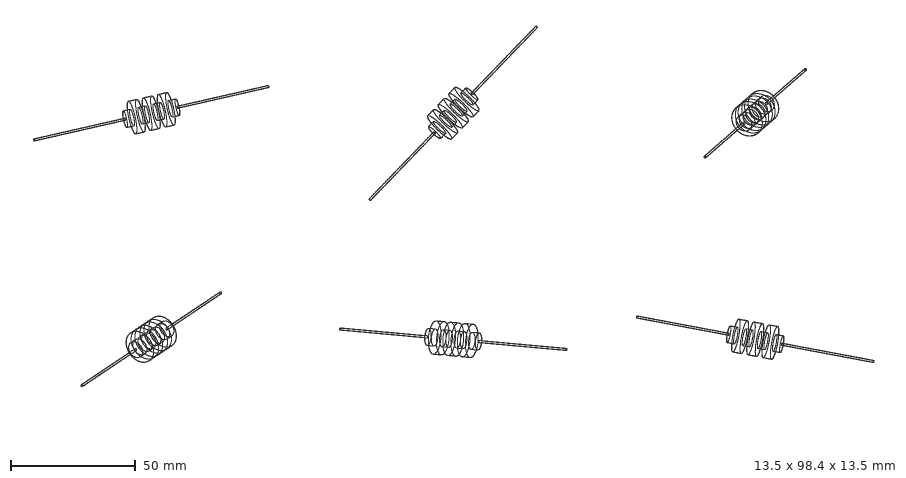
import cadquery as cq

wire_length = 98.4
wire_diameter = 0.9
core_length = 22.0
core_diameter = 6.9
disc_diameter = 13.5
disc_width = 3.5
disc_pitch = 6.3
disc_count = 3


def rod(diameter, length, center_y=0.0):
    """Cylinder along Y, centred on the axis at center_y."""
    profile = cq.Workplane("XZ", origin=(0, center_y + length / 2, 0)).circle(diameter / 2)
    return profile.extrude(length)


result = rod(core_diameter, core_length)
result = result.union(rod(wire_diameter, wire_length))

for index in range(disc_count):
    disc_y = (index - (disc_count - 1) / 2) * disc_pitch
    result = result.union(rod(disc_diameter, disc_width, disc_y))